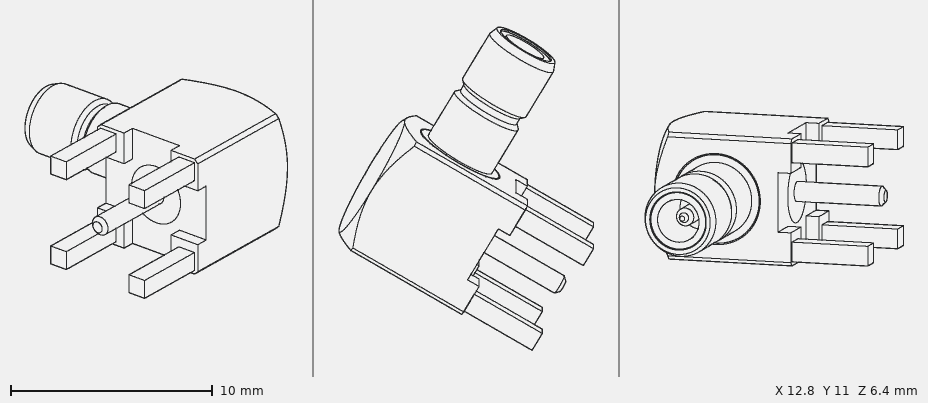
import cadquery as cq
import math


BLOCK_SIZE = 6.4
HALF_BLOCK = BLOCK_SIZE / 2
EDGE_CHAMFER = 0.2
CROWN_ANGLE = 30.0
FOOT_SIZE = 1.7
FOOT_HEIGHT = 0.67
LEG_PITCH = 4.99
LEG_WIDTH = 1.0
LEG_LENGTH = 3.93
TIP_Y = -HALF_BLOCK - FOOT_HEIGHT - LEG_LENGTH

BARREL_LENGTH = 6.4
BARREL_RADIUS = 1.84
BARREL_TIP_X = -HALF_BLOCK - BARREL_LENGTH
NOSE_LENGTH = 0.42
NOSE_STEP = 0.17
GROOVE_START = 3.07
GROOVE_FLOOR_START = 3.29
GROOVE_FLOOR_END = 3.64
GROOVE_END = 3.85
GROOVE_DEPTH = 0.22
FLANGE_RADIUS = 2.23
FLANGE_THICKNESS = 0.77
MOUTH_RECESS_RADIUS = 1.46
MOUTH_RECESS_DEPTH = 0.08
SEAT_CHAMFER = 0.06

SLEEVE_RADIUS = 1.42
SOCKET_RADIUS = 1.08
SOCKET_DEPTH = 3.84

INSULATOR_RADIUS = 1.56

CONTACT_RADIUS = 0.45
CONTACT_NECK_RADIUS = 0.24
CONTACT_TIP_RADIUS = 0.13
CONTACT_TIP_DEPTH = 0.72
CONTACT_POINT_LENGTH = 0.3
CONTACT_TAPER_LENGTH = 0.2
PIN_RADIUS = 0.5
PIN_TIP_CHAMFER = 0.2


def x_cylinder(radius, x_start, x_end):
    """Cylinder on the barrel axis."""
    return cq.Workplane("YZ", origin=(x_start, 0, 0)).circle(radius).extrude(x_end - x_start)


def y_cylinder(radius, y_start, y_end):
    """Cylinder on the board pin axis."""
    return cq.Workplane("XZ", origin=(0, y_end, 0)).circle(radius).extrude(y_end - y_start)


def turned_crown():
    """Body of revolution about Y whose cone trims the corners of the block's +Y end."""
    reach = BLOCK_SIZE
    drop = (reach - HALF_BLOCK) * math.tan(math.radians(CROWN_ANGLE))
    return (
        cq.Workplane("XY")
        .moveTo(0, TIP_Y)
        .lineTo(reach, TIP_Y)
        .lineTo(reach, HALF_BLOCK - drop)
        .lineTo(HALF_BLOCK, HALF_BLOCK)
        .lineTo(0, HALF_BLOCK)
        .close()
        .revolve(360, (0, 0, 0), (0, 1, 0))
    )


def make_contact():
    """Bent contact: socket pin along X joined to the board pin along Y."""
    tip_x = BARREL_TIP_X + CONTACT_TIP_DEPTH
    neck_x = tip_x + CONTACT_POINT_LENGTH
    shoulder_x = neck_x + CONTACT_TAPER_LENGTH
    socket_pin = (
        cq.Workplane("XY")
        .moveTo(tip_x, 0)
        .lineTo(tip_x, CONTACT_TIP_RADIUS)
        .lineTo(neck_x, CONTACT_NECK_RADIUS)
        .lineTo(shoulder_x, CONTACT_RADIUS)
        .lineTo(0, CONTACT_RADIUS)
        .lineTo(0, 0)
        .close()
        .revolve(360, (0, 0, 0), (1, 0, 0))
    )
    board_pin = y_cylinder(PIN_RADIUS, TIP_Y, PIN_RADIUS).faces("<Y").chamfer(PIN_TIP_CHAMFER)
    return board_pin.union(socket_pin)


def flange_seat():
    """Cutter for the barrel flange, with a conical rim at the housing face."""
    floor_x = -HALF_BLOCK + FLANGE_THICKNESS
    return (
        cq.Workplane("XY")
        .moveTo(-HALF_BLOCK, 0)
        .lineTo(-HALF_BLOCK, FLANGE_RADIUS + SEAT_CHAMFER)
        .lineTo(-HALF_BLOCK + SEAT_CHAMFER, FLANGE_RADIUS)
        .lineTo(floor_x, FLANGE_RADIUS)
        .lineTo(floor_x, 0)
        .close()
        .revolve(360, (0, 0, 0), (1, 0, 0))
    )


def make_housing():
    """Block with four feet and legs, bored for the insulator and the barrel parts."""
    block = (
        cq.Workplane("XZ", origin=(0, HALF_BLOCK, 0))
        .rect(BLOCK_SIZE, BLOCK_SIZE)
        .extrude(BLOCK_SIZE + FOOT_HEIGHT)
        .edges("|Y")
        .chamfer(EDGE_CHAMFER)
        .intersect(turned_crown())
    )

    channel_width = BLOCK_SIZE - 2 * FOOT_SIZE
    channel_y = -HALF_BLOCK - FOOT_HEIGHT / 2
    for x_size, z_size in ((BLOCK_SIZE, channel_width), (channel_width, BLOCK_SIZE)):
        channel = cq.Workplane("XY").box(x_size, FOOT_HEIGHT, z_size)
        block = block.cut(channel.translate((0, channel_y, 0)))

    legs = (
        cq.Workplane("XZ", origin=(0, -HALF_BLOCK - FOOT_HEIGHT, 0))
        .rarray(LEG_PITCH, LEG_PITCH, 2, 2)
        .rect(LEG_WIDTH, LEG_WIDTH)
        .extrude(LEG_LENGTH)
    )
    return (
        block.union(legs)
        .cut(flange_seat())
        .cut(x_cylinder(SLEEVE_RADIUS, -HALF_BLOCK, 0))
        .cut(insulator_blank())
    )


def make_barrel():
    """Turned barrel with a nose chamfer, a snap groove and a flange seated in the housing."""
    flange_back_x = -HALF_BLOCK + FLANGE_THICKNESS
    groove_radius = BARREL_RADIUS - GROOVE_DEPTH
    return (
        cq.Workplane("XY")
        .moveTo(BARREL_TIP_X + MOUTH_RECESS_DEPTH, SLEEVE_RADIUS)
        .lineTo(BARREL_TIP_X + MOUTH_RECESS_DEPTH, MOUTH_RECESS_RADIUS)
        .lineTo(BARREL_TIP_X, MOUTH_RECESS_RADIUS)
        .lineTo(BARREL_TIP_X, BARREL_RADIUS - NOSE_STEP)
        .lineTo(BARREL_TIP_X + NOSE_LENGTH, BARREL_RADIUS)
        .lineTo(BARREL_TIP_X + GROOVE_START, BARREL_RADIUS)
        .lineTo(BARREL_TIP_X + GROOVE_FLOOR_START, groove_radius)
        .lineTo(BARREL_TIP_X + GROOVE_FLOOR_END, groove_radius)
        .lineTo(BARREL_TIP_X + GROOVE_END, BARREL_RADIUS)
        .lineTo(-HALF_BLOCK, BARREL_RADIUS)
        .lineTo(-HALF_BLOCK, FLANGE_RADIUS)
        .lineTo(flange_back_x, FLANGE_RADIUS)
        .lineTo(flange_back_x, SLEEVE_RADIUS)
        .close()
        .revolve(360, (0, 0, 0), (1, 0, 0))
    )


def insulator_blank():
    """Solid envelope of the board pin insulator, flush with the face between the feet."""
    return y_cylinder(INSULATOR_RADIUS, -HALF_BLOCK, INSULATOR_RADIUS)


def make_insulator(contact):
    """Insulator filling the housing bore around the bend of the contact."""
    return insulator_blank().cut(contact)


def make_sleeve(contact):
    """Dielectric sleeve with a blind socket, butting against the insulator's round side."""
    sleeve_end_x = BARREL_TIP_X + MOUTH_RECESS_DEPTH
    return (
        x_cylinder(SLEEVE_RADIUS, sleeve_end_x, 0)
        .cut(x_cylinder(SOCKET_RADIUS, sleeve_end_x, BARREL_TIP_X + SOCKET_DEPTH))
        .cut(insulator_blank())
        .cut(contact)
    )


contact = make_contact()
housing = make_housing()
barrel = make_barrel()
sleeve = make_sleeve(contact)
insulator = make_insulator(contact)

bodies = [housing, barrel, sleeve, insulator, contact]
result = cq.Compound.makeCompound([body.solids().val() for body in bodies])